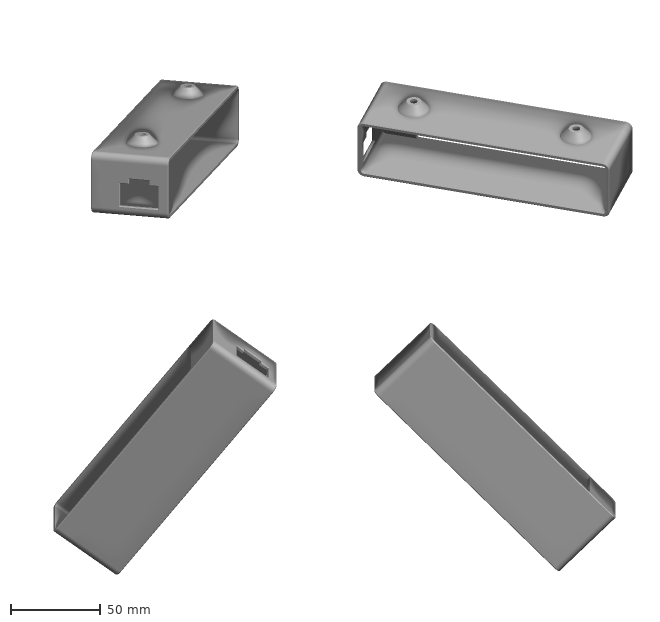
import cadquery as cq

width = 45.0
length = 148.0
total_height = 40.8
boss_height = 5.0
body_height = total_height - boss_height
outer_radius = 4.0
wall = outer_radius / 2
inner_radius = outer_radius - wall
edge_chamfer = 0.5

side_wall_length = 21.0

port_left = -5.8
port_width = 22.3
port_bottom = 5.9
port_shoulder = 19.2
port_top = 22.2
notch_width = 11.7
port_chamfer = 0.5

boss_base_diameter = 18.0
boss_top_diameter = 8.5
boss_hole_diameter = 4.3
boss_end_distance = 26.3


def rounded_bar(x_size, y_size, z_size, radius):
    """Bar along X with rounded long edges."""
    return cq.Workplane("XY").box(x_size, y_size, z_size).edges("|X").fillet(radius)


def make_sleeve():
    """Tube open on +X, with a windowed wall on -X."""
    inner_length = length - 2 * wall
    inner_height = body_height - 2 * wall
    shell = rounded_bar(width, length, body_height, outer_radius)
    shell = shell.faces("<X or >X").edges().chamfer(edge_chamfer)

    cavity = rounded_bar(width, inner_length, inner_height, inner_radius)
    cavity = cavity.translate((wall, 0, 0))

    window_length = length - wall - side_wall_length
    window_center = (side_wall_length - wall) / 2
    window = rounded_bar(2 * width, window_length, inner_height, inner_radius)
    window = window.translate((0, window_center, 0))
    return shell.cut(cavity).cut(window).translate((0, 0, body_height / 2))


def cut_port(body):
    """Socket opening with a notch at the top and a chamfered outer rim."""
    port_right = port_left + port_width
    notch_left = port_left + (port_width - notch_width) / 2
    notch_right = notch_left + notch_width
    outline = [
        (port_left, port_bottom),
        (port_right, port_bottom),
        (port_right, port_shoulder),
        (notch_right, port_shoulder),
        (notch_right, port_top),
        (notch_left, port_top),
        (notch_left, port_shoulder),
        (port_left, port_shoulder),
    ]
    cutter_depth = 2 * wall
    cutter = (
        cq.Workplane("XZ", origin=(0, -length / 2, 0))
        .polyline(outline)
        .close()
        .extrude(-cutter_depth)
    )
    body = body.cut(cutter)
    rim = cq.selectors.BoxSelector(
        (port_left - wall, -length / 2 - port_chamfer, port_bottom - port_chamfer),
        (port_right + wall, -length / 2 + port_chamfer, port_top + port_chamfer),
    )
    return body.edges(rim).chamfer(port_chamfer)


def add_boss(body, y):
    """Cone on the top face with a hole continuing through the top wall."""
    cone = cq.Solid.makeCone(
        boss_base_diameter / 2,
        boss_top_diameter / 2,
        boss_height,
        pnt=cq.Vector(0, y, body_height),
    )
    hole = cq.Solid.makeCylinder(
        boss_hole_diameter / 2,
        boss_height + 2 * wall,
        pnt=cq.Vector(0, y, body_height - 2 * wall),
    )
    return body.union(cq.Workplane(cone)).cut(cq.Workplane(hole))


result = cut_port(make_sleeve())
boss_offset = length / 2 - boss_end_distance
for boss_y in (-boss_offset, boss_offset):
    result = add_boss(result, boss_y)